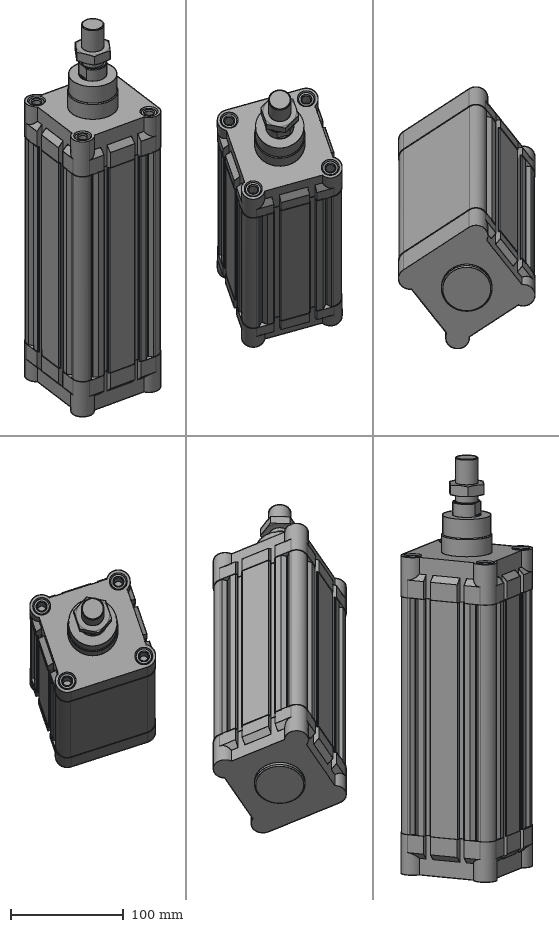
import cadquery as cq
import math

total_height = 378.0
rear_collar_height = 4.0
rod_tip_above_cover = 85.8
cover_height = 36.5
rear_face_z = rear_collar_height
front_face_z = total_height - rod_tip_above_cover
rear_seam_z = rear_face_z + cover_height
front_seam_z = front_face_z - cover_height
middle_z = (rear_face_z + front_face_z) / 2

width = 93.0
half_width = width / 2
screw_offset = 36.0
post_radius = half_width - screw_offset
barrel_inset = 0.5

side_depth = 5.3
panel_start = 20.5
slot_center = 16.5
slot_width = 6.8

throat_width = 4.5
mouth_flare_depth = 1.0
throat_depth = 2.0
barrel_slot_depth = 5.0

groove_inner = 25.7
groove_outer = 33.5
groove_floor_inner = 29.5
groove_floor_outer = 30.5
groove_depth = 3.5

recess_diameter = 16.0
recess_floor_diameter = 13.5
recess_depth = 1.0
socket_mouth_diameter = 10.0
socket_diameter = 8.0
socket_chamfer_depth = 1.0
socket_depth = 15.0

collar_diameter = 45.0
collar_chamfer = 1.0
collar_height = 16.5
bearing_diameter = 43.0
bearing_top_z = total_height - 52.0

rod_diameter = 25.0
shoulder_chamfer = 0.8
flats_width = 22.0
flats_bottom_gap = 1.0
thread_diameter = 20.0
thread_length = 39.7
tip_diameter = 18.5
shoulder_z = total_height - thread_length

nut_flats = 30.0
nut_height = 10.0
nut_top_z = total_height - 23.0
nut_corner_diameter = 2 * nut_flats / math.sqrt(3)
nut_chamfer_angle = 15

slotted_side_turns = (0, 90, -90)


def disc(diameter, bottom_z, top_z):
    return cq.Workplane("XY").workplane(offset=bottom_z).circle(diameter / 2).extrude(top_z - bottom_z)


def cone(bottom_diameter, top_diameter, bottom_z, top_z):
    height = top_z - bottom_z
    solid = cq.Solid.makeCone(bottom_diameter / 2, top_diameter / 2, height, cq.Vector(0, 0, bottom_z))
    return cq.Workplane("XY").newObject([solid])


def on_slotted_sides(tool):
    """Copies of a shape made for the -Y side, one on each slotted side."""
    return [tool.rotate((0, 0, 0), (0, 0, 1), turn) for turn in slotted_side_turns]


def corner_points(offset):
    return [(x, y) for x in (-offset, offset) for y in (-offset, offset)]


def barrel_slot():
    """Sensor slot profile on the -Y side, run along the barrel."""
    skin_y = -half_width + barrel_inset
    flare_y = -half_width + mouth_flare_depth
    throat_y = -half_width + throat_depth
    floor_y = -half_width + barrel_slot_depth
    half_slot = slot_width / 2
    half_throat = throat_width / 2
    return (
        cq.Workplane("XY").workplane(offset=rear_seam_z)
        .polyline([
            (-half_slot, skin_y), (-half_throat, flare_y), (-half_throat, throat_y), (-half_slot, throat_y),
            (-half_slot, floor_y), (half_slot, floor_y),
            (half_slot, throat_y), (half_throat, throat_y), (half_throat, flare_y), (half_slot, skin_y),
        ])
        .close().extrude(front_seam_z - rear_seam_z)
    )


def barrel_groove():
    """Trapezoid groove on the -Y side, right of the middle."""
    skin_y = -half_width + barrel_inset
    floor_y = skin_y + groove_depth
    return (
        cq.Workplane("XY").workplane(offset=rear_seam_z)
        .polyline([
            (groove_inner, skin_y), (groove_floor_inner, floor_y),
            (groove_floor_outer, floor_y), (groove_outer, skin_y),
        ])
        .close().extrude(front_seam_z - rear_seam_z)
    )


def make_barrel():
    barrel_width = width - 2 * barrel_inset
    barrel = (
        cq.Workplane("XY").workplane(offset=rear_seam_z).rect(barrel_width, barrel_width)
        .extrude(front_seam_z - rear_seam_z)
        .edges("|Z").fillet(post_radius - barrel_inset)
    )
    slot = barrel_slot()
    groove = barrel_groove()
    for tool in (
        slot.translate((slot_center, 0, 0)),
        slot.translate((-slot_center, 0, 0)),
        groove,
        groove.mirror("YZ"),
    ):
        for cutter in on_slotted_sides(tool):
            barrel = barrel.cut(cutter)
    return barrel


def side_panel():
    """Raised panel band of the front cover on the -Y side, sloped at its outer end and split by two slots."""
    skin_y = -half_width
    base_y = skin_y + side_depth
    ledge_z = front_face_z - panel_start
    panel = (
        cq.Workplane("YZ", origin=(-screw_offset, 0, 0))
        .polyline([
            (0, front_seam_z), (skin_y, front_seam_z), (skin_y, ledge_z),
            (base_y, ledge_z + side_depth), (0, ledge_z + side_depth),
        ])
        .close().extrude(2 * screw_offset)
    )
    slots = (
        cq.Workplane("XY").workplane(offset=front_seam_z)
        .pushPoints([(-slot_center, skin_y), (slot_center, skin_y)])
        .rect(slot_width, 2 * side_depth).extrude(cover_height)
    )
    return panel.cut(slots)


def make_front_cover():
    core_size = width - 2 * side_depth
    base = cq.Workplane("XY").workplane(offset=front_seam_z)
    cover = base.rect(core_size, core_size).extrude(cover_height)
    plain_side = base.center(0, half_width / 2).rect(2 * screw_offset, half_width).extrude(cover_height)
    posts = base.pushPoints(corner_points(screw_offset)).circle(post_radius).extrude(cover_height)
    cover = cover.union(plain_side)
    for panel in on_slotted_sides(side_panel()):
        cover = cover.union(panel)
    return cover.union(posts)


def screw_recess():
    """Tapered recess with a chamfered socket, on the Z axis under the front face."""
    floor_z = front_face_z - recess_depth
    recess = cone(recess_floor_diameter, recess_diameter, floor_z, front_face_z)
    mouth = cone(socket_diameter, socket_mouth_diameter, floor_z - socket_chamfer_depth, floor_z)
    socket = disc(socket_diameter, floor_z - socket_depth, floor_z)
    return recess.union(mouth).union(socket)


def make_housing():
    front_cover = make_front_cover()
    rear_cover = front_cover.mirror("XY", (0, 0, middle_z))
    housing = make_barrel().union(front_cover).union(rear_cover)

    front_collar = disc(collar_diameter, front_face_z, front_face_z + collar_height)
    front_collar = front_collar.faces(">Z").chamfer(collar_chamfer)
    bearing = disc(bearing_diameter, front_face_z, bearing_top_z)
    rear_collar = disc(collar_diameter, 0, rear_face_z).faces("<Z").chamfer(collar_chamfer)
    housing = housing.union(front_collar).union(bearing).union(rear_collar)

    recess = screw_recess()
    for x, y in corner_points(screw_offset):
        housing = housing.cut(recess.translate((x, y, 0)))

    rod_bore = disc(rod_diameter, front_seam_z, bearing_top_z)
    return housing.cut(rod_bore)


def make_piston_rod():
    shaft = disc(rod_diameter, front_seam_z, shoulder_z).faces(">Z").chamfer(shoulder_chamfer)
    flats_bottom_z = bearing_top_z + flats_bottom_gap
    flats_height = shoulder_z - flats_bottom_z
    outside_flats = (
        cq.Workplane("XY").workplane(offset=flats_bottom_z)
        .rect(2 * rod_diameter, 2 * rod_diameter).rect(2 * rod_diameter, flats_width)
        .extrude(flats_height)
    )
    tip_chamfer = (thread_diameter - tip_diameter) / 2
    thread = disc(thread_diameter, front_seam_z, total_height).faces(">Z").chamfer(tip_chamfer)
    return shaft.cut(outside_flats).union(thread)


def make_nut():
    """Hexagon nut with corners along Y, corners chamfered at both ends."""
    bottom_z = nut_top_z - nut_height
    hexagon = (
        cq.Workplane("XY").workplane(offset=bottom_z).polygon(6, nut_corner_diameter)
        .extrude(nut_height).rotate((0, 0, 0), (0, 0, 1), 90)
    )
    corner_reach = (nut_corner_diameter - nut_flats) / 2
    chamfer_drop = corner_reach * math.tan(math.radians(nut_chamfer_angle))
    lower_z = bottom_z + chamfer_drop
    upper_z = nut_top_z - chamfer_drop
    turned_blank = (
        disc(nut_corner_diameter, lower_z, upper_z)
        .union(cone(nut_flats, nut_corner_diameter, bottom_z, lower_z))
        .union(cone(nut_corner_diameter, nut_flats, upper_z, nut_top_z))
    )
    return hexagon.intersect(turned_blank).cut(disc(thread_diameter, bottom_z, nut_top_z))


housing = make_housing()
piston_rod = make_piston_rod()
nut = make_nut()

result = cq.Compound.makeCompound([housing.val(), piston_rod.val(), nut.val()])